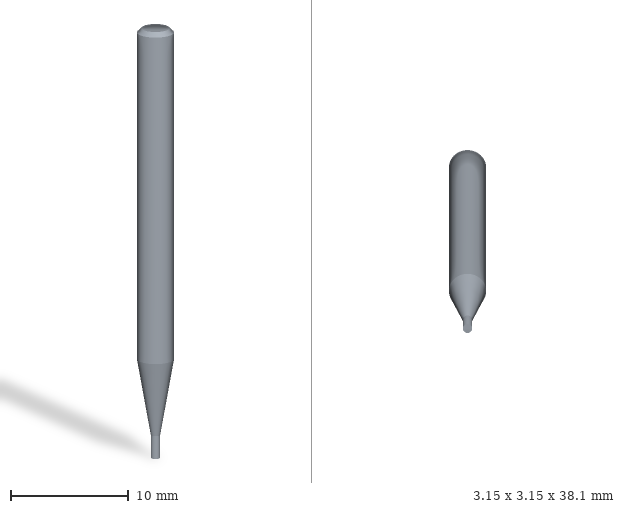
import cadquery as cq

total_length = 38.1
shank_diameter = 3.15
tip_diameter = 0.8
tip_length = 2.02
taper_length = 6.75
chamfer_height = 0.4
chamfer_width = 0.4

shank_radius = shank_diameter / 2
tip_radius = tip_diameter / 2
shank_start = tip_length + taper_length

half_profile = [
    (0, 0),
    (tip_radius, 0),
    (tip_radius, tip_length),
    (shank_radius, shank_start),
    (shank_radius, total_length - chamfer_height),
    (shank_radius - chamfer_width, total_length),
    (0, total_length),
]

result = cq.Workplane("XZ").polyline(half_profile).close().revolve(360, (0, 0, 0), (0, 1, 0))